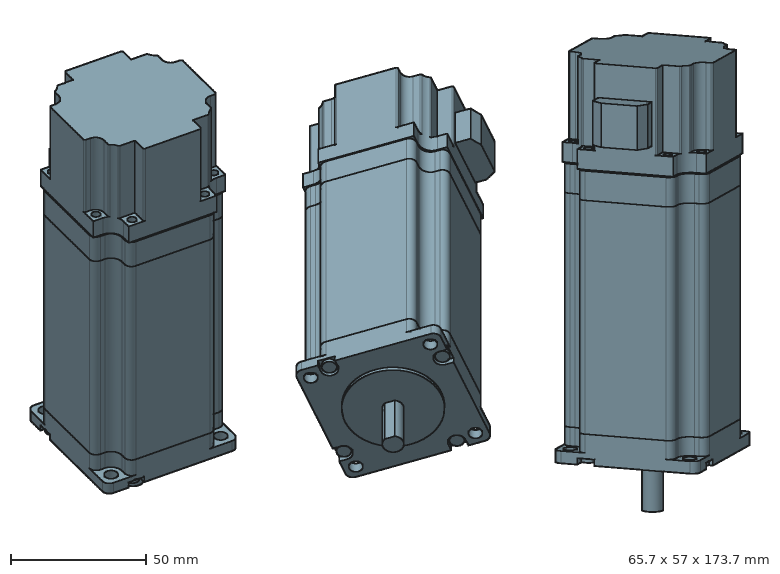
import cadquery as cq

FRAME_WIDTH = 57.0
FRAME_HALF = FRAME_WIDTH / 2
POCKET_WALL = 19.0
CORNER_RADIUS = 3.0

SHAFT_TIP_Z = -21.4
PILOT_HEIGHT = 1.5
EAR_THICKNESS = 4.7
FLANGE_TOP_Z = 11.8
STATOR_TOP_Z = 100.2
CAP_TOP_Z = 111.3
JOINT_GAP = 0.5
DRIVER_BOTTOM_Z = CAP_TOP_Z + JOINT_GAP
DRIVER_EAR_TOP_Z = 119.3
TOP_Z = SHAFT_TIP_Z + 173.7

MOUNT_HOLE_OFFSET = 23.6
MOUNT_HOLE_DIAMETER = 5.2
PILOT_DIAMETER = 38.0
SHAFT_DIAMETER = 8.0
SHAFT_FLAT_Y = 3.5
MOTOR_POCKET_RADIUS = MOUNT_HOLE_OFFSET - POCKET_WALL

SCREW_NEAR = 15.6
SCREW_FAR = 25.4
SCREW_SHANK_DIAMETER = 3.0
SCREW_HEAD_DIAMETER = 5.5
SCREW_HEAD_HEIGHT = 1.5
SCREW_POCKET_WIDTH = 6.8
SCREW_POCKET_DEPTH = 2.5

DRIVER_POCKET_RADIUS = 5.5
DRIVER_HOLE_DIAMETER = 3.5
NOTCH_REACH = 3.1
NOTCH_CORNER_RADIUS = 3.6
NOTCH_EDGE_RADIUS = 0.7
SPIGOT_DIAMETER = 52.1

CONNECTOR_REACH = 8.7
CONNECTOR_HALF_WIDTH = 10.6
CONNECTOR_BOTTOM_Z = 122.8
CONNECTOR_HEIGHT = 16.7
CONNECTOR_SHORT_CUT = 2.6
CONNECTOR_LONG_CUT = 4.3

TOLERANCE = 0.02
QUARTER_TURNS = (0, 90, 180, 270)
Z_AXIS = ((0, 0, 0), (0, 0, 1))


def block(x_range, y_range, z_range):
    """Box between the given limits."""
    size = [high - low for low, high in (x_range, y_range, z_range)]
    return cq.Workplane("XY").box(*size, centered=False).translate((x_range[0], y_range[0], z_range[0]))


def cylinder(diameter, bottom_z, top_z, points=((0, 0),)):
    """Upright cylinders at the given points."""
    plane = cq.Workplane("XY").workplane(offset=bottom_z)
    return plane.pushPoints(points).circle(diameter / 2).extrude(top_z - bottom_z)


def square_prism(bottom_z, top_z):
    plane = cq.Workplane("XY").workplane(offset=bottom_z)
    return plane.rect(FRAME_WIDTH, FRAME_WIDTH).extrude(top_z - bottom_z)


def frame_prism(bottom_z, top_z, pocket_radius):
    """Square prism with a pocket, rounded at its inner edge, along each corner."""
    reach = (POCKET_WALL, FRAME_WIDTH)
    pocket = block(reach, reach, (bottom_z, top_z))
    pocket = pocket.edges("|Z").edges("<(1,1,0)").fillet(pocket_radius)
    prism = square_prism(bottom_z, top_z)
    for angle in QUARTER_TURNS:
        prism = prism.cut(pocket.rotate(*Z_AXIS, angle))
    return prism


def is_on_outer_face(edge):
    center = edge.Center()
    return max(abs(center.x), abs(center.y)) > FRAME_HALF - TOLERANCE


def is_in_corner_pocket(edge):
    center = edge.Center()
    return min(abs(center.x), abs(center.y)) > POCKET_WALL + TOLERANCE


def motor_section(bottom_z, top_z):
    """Length of motor profile, with the holes for the screw shanks."""
    prism = frame_prism(bottom_z, top_z, MOTOR_POCKET_RADIUS)
    prism = prism.edges("|Z").filter(is_on_outer_face).fillet(CORNER_RADIUS)
    return prism.cut(cylinder(SCREW_SHANK_DIAMETER, bottom_z, top_z, screw_points()))


def screw_points():
    """Screw axes, each a quarter turn from the one before."""
    return [
        (-SCREW_NEAR, -SCREW_FAR),
        (SCREW_FAR, -SCREW_NEAR),
        (SCREW_NEAR, SCREW_FAR),
        (-SCREW_FAR, SCREW_NEAR),
    ]


def make_screw_pocket():
    """U-shaped head pocket that opens through the mounting face and the -Y side."""
    half = SCREW_POCKET_WIDTH / 2
    pocket = cylinder(SCREW_POCKET_WIDTH, 0, SCREW_POCKET_DEPTH, [(-SCREW_NEAR, -SCREW_FAR)])
    mouth = block(
        (-SCREW_NEAR - half, -SCREW_NEAR + half), (-FRAME_WIDTH, -SCREW_FAR), (0, SCREW_POCKET_DEPTH)
    )
    return pocket.union(mouth)


def make_shaft():
    """Output shaft with a flat on its +Y side."""
    shaft = cylinder(SHAFT_DIAMETER, SHAFT_TIP_Z, -PILOT_HEIGHT)
    side = (-SHAFT_DIAMETER, SHAFT_DIAMETER)
    flat = block(side, (SHAFT_FLAT_Y, SHAFT_DIAMETER), (SHAFT_TIP_Z, -PILOT_HEIGHT))
    return shaft.cut(flat)


def make_front_flange():
    """Mounting flange with its four ears, the pilot and the output shaft."""
    ears = square_prism(0, EAR_THICKNESS).edges("|Z").fillet(CORNER_RADIUS)
    flange = motor_section(0, FLANGE_TOP_Z).union(ears)
    mount_points = [(x, y) for x in (-MOUNT_HOLE_OFFSET, MOUNT_HOLE_OFFSET)
                    for y in (-MOUNT_HOLE_OFFSET, MOUNT_HOLE_OFFSET)]
    flange = flange.cut(cylinder(MOUNT_HOLE_DIAMETER, 0, EAR_THICKNESS, mount_points))
    flange = flange.cut(cylinder(SCREW_SHANK_DIAMETER, 0, FLANGE_TOP_Z, screw_points()))
    pocket = make_screw_pocket()
    for angle in QUARTER_TURNS:
        flange = flange.cut(pocket.rotate(*Z_AXIS, angle))
    flange = flange.union(cylinder(PILOT_DIAMETER, -PILOT_HEIGHT, 0))
    return flange.union(make_shaft())


def make_screw(x, y):
    """Screw whose head sits at the top of its pocket and whose tip is flush with the end cap."""
    head_bottom_z = SCREW_POCKET_DEPTH - SCREW_HEAD_HEIGHT
    head = cylinder(SCREW_HEAD_DIAMETER, head_bottom_z, SCREW_POCKET_DEPTH, [(x, y)])
    shank = cylinder(SCREW_SHANK_DIAMETER, SCREW_POCKET_DEPTH, CAP_TOP_Z, [(x, y)])
    return head.union(shank)


def make_driver_notches():
    """The two notches of the +X +Y corner that clear the holes in the driver ears."""
    near_range = (SCREW_NEAR - NOTCH_REACH, FRAME_WIDTH)
    far_range = (SCREW_FAR - NOTCH_REACH, FRAME_WIDTH)
    height = (DRIVER_EAR_TOP_Z, TOP_Z)
    round_notch = block(near_range, far_range, height)
    round_notch = round_notch.edges("|Z").edges("<(1,1,0)").fillet(NOTCH_CORNER_RADIUS)
    square_notch = block(far_range, near_range, height)
    return round_notch, square_notch


def make_connector():
    """Connector housing with one steep and one shallow corner cut."""
    tip_x = -FRAME_HALF - CONNECTOR_REACH
    width = CONNECTOR_HALF_WIDTH
    outline = [
        (-POCKET_WALL, width),
        (tip_x + CONNECTOR_SHORT_CUT, width),
        (tip_x, width - CONNECTOR_LONG_CUT),
        (tip_x, -width + CONNECTOR_SHORT_CUT),
        (tip_x + CONNECTOR_LONG_CUT, -width),
        (-POCKET_WALL, -width),
    ]
    plane = cq.Workplane("XY").workplane(offset=CONNECTOR_BOTTOM_Z)
    return plane.polyline(outline).close().extrude(CONNECTOR_HEIGHT)


def make_driver():
    """Driver housing with notched corners, ears, locating spigot and connector."""
    base = frame_prism(DRIVER_BOTTOM_Z, DRIVER_EAR_TOP_Z, DRIVER_POCKET_RADIUS)
    upper = frame_prism(DRIVER_EAR_TOP_Z, TOP_Z, DRIVER_POCKET_RADIUS)
    for notch in make_driver_notches():
        for mirrored_x in (notch, notch.mirror("YZ")):
            upper = upper.cut(mirrored_x).cut(mirrored_x.mirror("XZ"))
    upper = upper.edges("|Z").filter(is_on_outer_face).fillet(NOTCH_EDGE_RADIUS)
    upper = upper.edges("|Z").filter(is_in_corner_pocket).fillet(NOTCH_EDGE_RADIUS)

    hole_points = [(side * x, y) for x, y in screw_points() for side in (-1, 1)]
    base = base.cut(cylinder(DRIVER_HOLE_DIAMETER, DRIVER_BOTTOM_Z, DRIVER_EAR_TOP_Z, hole_points))
    spigot = cylinder(SPIGOT_DIAMETER, CAP_TOP_Z, DRIVER_BOTTOM_Z)
    return base.union(upper).union(spigot).union(make_connector())


front_flange = make_front_flange()
stator = motor_section(FLANGE_TOP_Z, STATOR_TOP_Z)
end_cap = motor_section(STATOR_TOP_Z, CAP_TOP_Z)
driver = make_driver()
screws = [make_screw(x, y) for x, y in screw_points()]

result = cq.Compound.makeCompound([
    front_flange.val(),
    stator.val(),
    end_cap.val(),
    driver.val(),
    *[screw.val() for screw in screws],
])